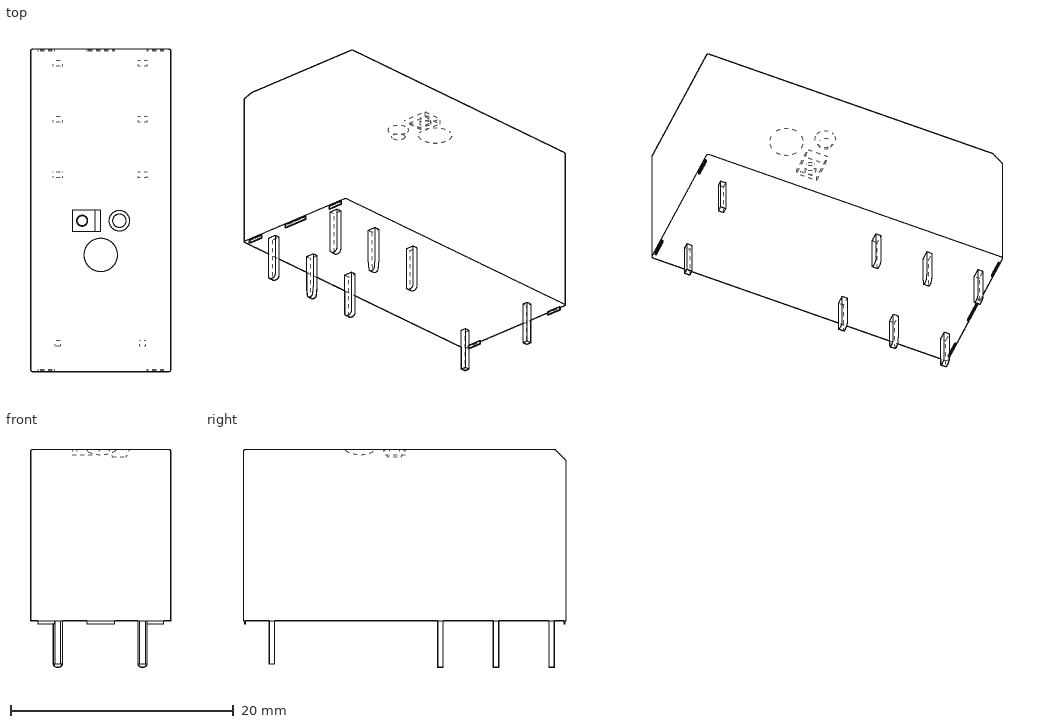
import cadquery as cq

WIDTH = 12.6
LENGTH = 29.0
OVERALL_HEIGHT = 19.58
PIN_DROP = 4.18
BODY_HEIGHT = OVERALL_HEIGHT - PIN_DROP
TOP_CHAMFER = 1.0
EDGE_RADIUS = 0.2

FOOT_HEIGHT = 0.3
FOOT_THICKNESS = 0.1
FOOT_INSET = 0.1
CORNER_FOOT_WIDTH = 1.5
CORNER_FOOT_X = 4.9
MIDDLE_FOOT_WIDTH = 2.5

PIN_ROW_SPACING = 7.6
PIN_CENTRE_X = -0.05
PIN_THICKNESS = 0.5
CONTACT_PIN_WIDTH = 0.84
CONTACT_PIN_PITCH = 5.0
REAR_CONTACT_Y = 13.2
CONTACT_TIP_RADIUS = 0.35
CENTRE_TIP_WIDTH = 0.6
CENTRE_TAPER_START = 3.2
CENTRE_TIP_RADIUS = 0.25
COIL_PIN_WIDTH = 0.5
COIL_PIN_DROP = 3.9
COIL_PIN_Y = -11.93

MARK_ROW_Y = -0.93
POCKET_LEFT = -2.53
POCKET_WIDTH = 2.5
POCKET_LENGTH = 1.95
POCKET_DEPTH = 0.5
POCKET_RAMP = 0.5
PEG_X = -1.67
PEG_BASE_DIAMETER = 1.0
PEG_TOP_DIAMETER = 0.9
CONE_X = 1.67
CONE_TOP_DIAMETER = 1.85
CONE_FLOOR_DIAMETER = 1.2
CONE_DEPTH = 0.7
DIMPLE_Y = -4.0
DIMPLE_DIAMETER = 3.0
DIMPLE_DEPTH = 0.5


def make_housing():
    """Box with its top rear edge chamfered and every edge but the bottom ones rounded."""
    housing = cq.Workplane("XY").box(WIDTH, LENGTH, BODY_HEIGHT, centered=(True, True, False))
    housing = housing.edges(">Y and >Z").chamfer(TOP_CHAMFER)
    return housing.edges("not <Z").fillet(EDGE_RADIUS)


def make_foot(x, end, width):
    """Thin foot near the front (end = -1) or rear (end = 1) of the housing."""
    y = end * (LENGTH / 2 - FOOT_INSET - FOOT_THICKNESS / 2)
    foot = cq.Workplane("XY").box(width, FOOT_THICKNESS, FOOT_HEIGHT, centered=(True, True, False))
    return foot.translate((x, y, -FOOT_HEIGHT))


def make_contact_pin(x, y):
    """Flat pin with a rounded tip."""
    pin = cq.Workplane("XY").box(CONTACT_PIN_WIDTH, PIN_THICKNESS, PIN_DROP, centered=(True, True, False))
    pin = pin.faces("<Z").edges("|Y").fillet(CONTACT_TIP_RADIUS)
    return pin.translate((x, y, -PIN_DROP))


def make_centre_contact_pin(x, y):
    """Flat pin whose sides taper towards a rounded tip."""
    half_width = CONTACT_PIN_WIDTH / 2
    half_tip = CENTRE_TIP_WIDTH / 2
    pin = (
        cq.Workplane("XZ")
        .moveTo(-half_width, 0)
        .lineTo(-half_width, -CENTRE_TAPER_START)
        .lineTo(-half_tip, -PIN_DROP)
        .lineTo(half_tip, -PIN_DROP)
        .lineTo(half_width, -CENTRE_TAPER_START)
        .lineTo(half_width, 0)
        .close()
        .extrude(PIN_THICKNESS / 2, both=True)
    )
    pin = pin.faces("<Z").edges("|Y").fillet(CENTRE_TIP_RADIUS)
    return pin.translate((x, y, 0))


def make_coil_pin(x):
    """Shorter, narrower, square-ended pin near the front."""
    pin = cq.Workplane("XY").box(COIL_PIN_WIDTH, PIN_THICKNESS, COIL_PIN_DROP, centered=(True, True, False))
    return pin.translate((x, COIL_PIN_Y, -COIL_PIN_DROP))


def make_pocket():
    """Rectangular pocket with a ramped wall on its +X side and a tapered peg standing on its floor."""
    right = POCKET_LEFT + POCKET_WIDTH
    floor = BODY_HEIGHT - POCKET_DEPTH
    pocket = (
        cq.Workplane("XZ")
        .moveTo(POCKET_LEFT, BODY_HEIGHT)
        .lineTo(POCKET_LEFT, floor)
        .lineTo(right - POCKET_RAMP, floor)
        .lineTo(right, BODY_HEIGHT)
        .close()
        .extrude(POCKET_LENGTH / 2, both=True)
        .translate((0, MARK_ROW_Y, 0))
    )
    peg = cq.Solid.makeCone(PEG_BASE_DIAMETER / 2, PEG_TOP_DIAMETER / 2, POCKET_DEPTH)
    return pocket.cut(cq.Workplane(peg.translate(cq.Vector(PEG_X, MARK_ROW_Y, floor))))


def make_cone_recess():
    """Flat-floored conical recess beside the pocket."""
    cone = cq.Solid.makeCone(CONE_FLOOR_DIAMETER / 2, CONE_TOP_DIAMETER / 2, CONE_DEPTH)
    return cone.translate(cq.Vector(CONE_X, MARK_ROW_Y, BODY_HEIGHT - CONE_DEPTH))


def make_dimple():
    """Sphere that leaves a shallow dimple in the top face."""
    radius = ((DIMPLE_DIAMETER / 2) ** 2 + DIMPLE_DEPTH**2) / (2 * DIMPLE_DEPTH)
    sphere = cq.Workplane("XZ").sphere(radius)
    return sphere.translate((0, DIMPLE_Y, BODY_HEIGHT - DIMPLE_DEPTH + radius))


result = make_housing().cut(make_pocket()).cut(make_cone_recess()).cut(make_dimple())

for end in (-1, 1):
    for side in (-1, 1):
        result = result.union(make_foot(side * CORNER_FOOT_X, end, CORNER_FOOT_WIDTH))
result = result.union(make_foot(0, 1, MIDDLE_FOOT_WIDTH))

for side in (-1, 1):
    pin_x = PIN_CENTRE_X + side * PIN_ROW_SPACING / 2
    result = result.union(make_contact_pin(pin_x, REAR_CONTACT_Y))
    result = result.union(make_centre_contact_pin(pin_x, REAR_CONTACT_Y - CONTACT_PIN_PITCH))
    result = result.union(make_contact_pin(pin_x, REAR_CONTACT_Y - 2 * CONTACT_PIN_PITCH))
    result = result.union(make_coil_pin(pin_x))